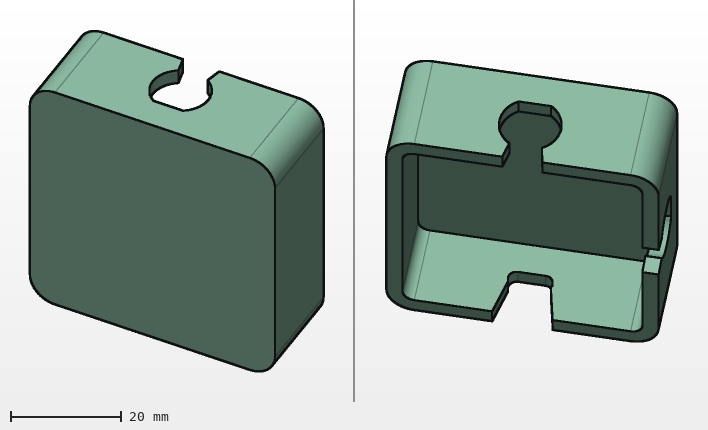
import cadquery as cq
import math

side = 50.0
depth = 19.0
corner_radius = 5.15
wall = 3.0
half_side = side / 2
back_y = depth / 2

opening_y = back_y - 8.0

round_radius = 5.65
flat_offset = 4.8
round_mouth_half = 3.7

slot_end_radius = 1.6
slot_half_length = 4.1
slot_throat_offset = 0.75
slot_mouth_half = 5.55


def rounded_block(width, radius, y_front):
    """Rounded square block running from y_front to the open back."""
    block = cq.Workplane("XY").box(width, back_y - y_front, width)
    block = block.translate((0, (back_y + y_front) / 2, 0))
    return block.edges("|Y").fillet(radius)


def round_opening():
    """Cutter through the top (+Z) wall."""
    half_chord = math.sqrt(round_radius**2 - flat_offset**2)
    throat_y = opening_y + flat_offset
    flat_y = opening_y - flat_offset
    return (
        cq.Workplane("XY")
        .workplane(offset=half_side - wall)
        .moveTo(-round_mouth_half, back_y)
        .lineTo(-half_chord, throat_y)
        .threePointArc((-round_radius, opening_y), (-half_chord, flat_y))
        .lineTo(half_chord, flat_y)
        .threePointArc((round_radius, opening_y), (half_chord, throat_y))
        .lineTo(round_mouth_half, back_y)
        .close()
        .extrude(wall)
    )


def slot_opening():
    """Cutter through the bottom (-Z) wall."""
    end_x = slot_half_length - slot_end_radius
    throat_half = end_x + math.sqrt(slot_end_radius**2 - slot_throat_offset**2)
    throat_y = opening_y + slot_throat_offset
    slot_front_y = opening_y - slot_end_radius
    return (
        cq.Workplane("XY")
        .workplane(offset=-half_side)
        .moveTo(-slot_mouth_half, back_y)
        .lineTo(-throat_half, throat_y)
        .threePointArc((-slot_half_length, opening_y), (-end_x, slot_front_y))
        .lineTo(end_x, slot_front_y)
        .threePointArc((slot_half_length, opening_y), (throat_half, throat_y))
        .lineTo(slot_mouth_half, back_y)
        .close()
        .extrude(wall)
    )


shell = rounded_block(side, corner_radius, -back_y)
cavity = rounded_block(side - 2 * wall, corner_radius - wall, wall - back_y)

top_opening = round_opening()
left_opening = top_opening.rotate((0, 0, 0), (0, 1, 0), -90)

result = shell.cut(cavity).cut(top_opening).cut(left_opening).cut(slot_opening())